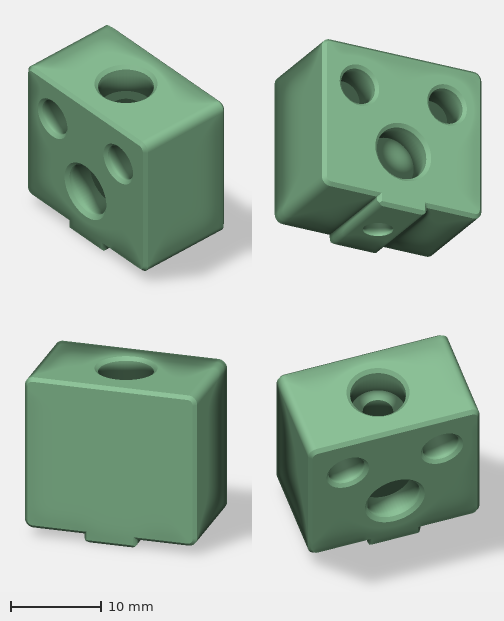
import cadquery as cq

width = 20.0
depth = 12.0
height = 19.0
foot_width = 6.2
foot_height = 1.0
corner_radius = 1.0
foot_radius = 0.75
edge_chamfer = 0.4

bore_diameter = 6.2
passage_diameter = 3.4
side_hole_diameter = 4.25
bore_chamfer = 0.4
side_hole_chamfer = 0.35
top_bore_depth = 3.4
front_bore_depth = 3.4
side_hole_depth = 4.0
side_hole_spacing = 11.0
side_hole_drop = 5.0
front_bore_drop = 12.0

top_z = height
front_y = -depth / 2


def make_body():
    """Rounded block with a centred foot, chamfered around its front and back faces."""
    block_height = height - foot_height
    block = (
        cq.Workplane("XY")
        .box(width, depth, block_height, centered=(True, True, False))
        .edges("|Y")
        .fillet(corner_radius)
        .translate((0, 0, foot_height))
    )
    foot = (
        cq.Workplane("XY")
        .box(foot_width, depth, 2 * foot_height, centered=(True, True, False))
    )
    body = block.union(foot).faces("<Y or >Y").edges().chamfer(edge_chamfer)
    return body.faces("<Z").edges("|Y").fillet(foot_radius)


def chamfered_bore(mouth, direction, diameter, bore_depth, chamfer):
    """Cutter for a flat-bottomed bore with a chamfered mouth."""
    radius = diameter / 2
    axis = cq.Vector(*direction)
    start = cq.Vector(*mouth)
    bore = cq.Solid.makeCylinder(radius, bore_depth, start, axis)
    mouth_cone = cq.Solid.makeCone(radius + chamfer, radius, chamfer, start, axis)
    return bore.fuse(mouth_cone)


body = make_body()

down = (0, 0, -1)
passage = cq.Solid.makeCylinder(passage_diameter / 2, height)
body = body.cut(chamfered_bore((0, 0, top_z), down, bore_diameter, top_bore_depth, bore_chamfer))
body = body.cut(passage)

inward = (0, 1, 0)
front_bore_mouth = (0, front_y, top_z - front_bore_drop)
front_bore = chamfered_bore(front_bore_mouth, inward, bore_diameter, front_bore_depth, bore_chamfer)
body = body.cut(front_bore)
for side in (-1, 1):
    side_hole_mouth = (side * side_hole_spacing / 2, front_y, top_z - side_hole_drop)
    side_hole = chamfered_bore(
        side_hole_mouth, inward, side_hole_diameter, side_hole_depth, side_hole_chamfer
    )
    body = body.cut(side_hole)

result = body